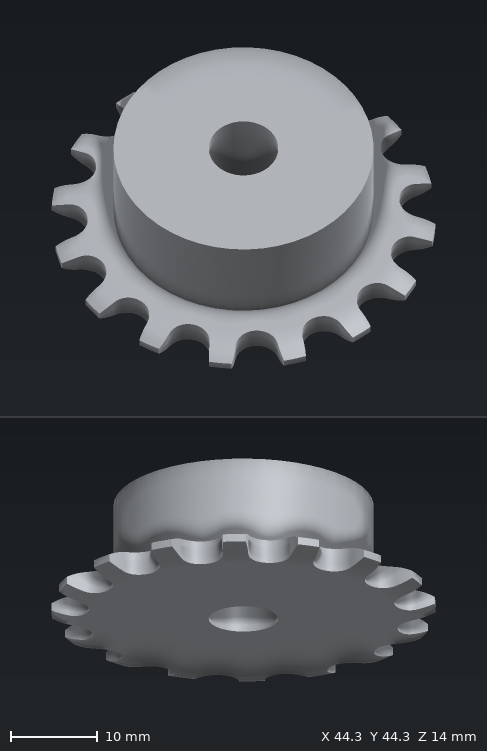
import cadquery as cq
import math

TOOTH_COUNT = 16
TIP_RADIUS = 44.3 / 2
PITCH_RADIUS = 41.0 / 2
SEAT_RADIUS = 5.0 / 2
FLANK_RADIUS = 10.8
PLATE_THICKNESS = 2.8
FACE_RADIUS = 18.25
SIDE_ARC_RADIUS = 8.4

TOTAL_HEIGHT = 14.0
HUB_DIAMETER = 30.0
BORE_DIAMETER = 8.0

TOOTH_ANGLE = 360 / TOOTH_COUNT
CUT_MARGIN = 0.9


def make_blank():
    """Revolve the toothless plate, with its sides rounded in towards the tip."""
    side_width = TIP_RADIUS - FACE_RADIUS
    side_angle = math.asin(side_width / SIDE_ARC_RADIUS)

    def side_inset(angle):
        return SIDE_ARC_RADIUS * (1 - math.cos(angle))

    tip_inset = side_inset(side_angle)
    mid_radius = FACE_RADIUS + SIDE_ARC_RADIUS * math.sin(side_angle / 2)
    mid_inset = side_inset(side_angle / 2)
    return (
        cq.Workplane("XZ")
        .lineTo(FACE_RADIUS, 0)
        .threePointArc((mid_radius, mid_inset), (TIP_RADIUS, tip_inset))
        .lineTo(TIP_RADIUS, PLATE_THICKNESS - tip_inset)
        .threePointArc((mid_radius, PLATE_THICKNESS - mid_inset), (FACE_RADIUS, PLATE_THICKNESS))
        .lineTo(0, PLATE_THICKNESS)
        .close()
        .revolve(360, (0, 0, 0), (0, 1, 0))
    )


def make_gap_cutter():
    """Shape one tooth gap, centred on +X: a roller seat that opens into convex flanks."""
    seat_end_angle = math.radians(TOOTH_ANGLE / 2)
    outer_radius = TIP_RADIUS + CUT_MARGIN
    centre_distance = SEAT_RADIUS + FLANK_RADIUS
    flank_x = PITCH_RADIUS - centre_distance * math.sin(seat_end_angle)
    flank_y = centre_distance * math.cos(seat_end_angle)

    def flank_point(x):
        return x, flank_y - math.sqrt(FLANK_RADIUS**2 - (x - flank_x) ** 2)

    seat_end_x = PITCH_RADIUS - SEAT_RADIUS * math.sin(seat_end_angle)
    start = flank_point(seat_end_x)
    middle = flank_point((seat_end_x + outer_radius) / 2)
    end = flank_point(outer_radius)

    def mirrored(point):
        return point[0], -point[1]

    return (
        cq.Workplane("XY")
        .workplane(offset=-CUT_MARGIN)
        .moveTo(*end)
        .threePointArc(middle, start)
        .threePointArc((PITCH_RADIUS - SEAT_RADIUS, 0), mirrored(start))
        .threePointArc(mirrored(middle), mirrored(end))
        .close()
        .extrude(PLATE_THICKNESS + 2 * CUT_MARGIN)
    )


def make_sprocket():
    sprocket = make_blank()
    gap_cutter = make_gap_cutter()
    for index in range(TOOTH_COUNT):
        angle = (index + 0.5) * TOOTH_ANGLE
        sprocket = sprocket.cut(gap_cutter.rotate((0, 0, 0), (0, 0, 1), angle))
    hub = cq.Workplane("XY").circle(HUB_DIAMETER / 2).extrude(TOTAL_HEIGHT)
    bore = cq.Workplane("XY").circle(BORE_DIAMETER / 2).extrude(TOTAL_HEIGHT)
    return sprocket.union(hub).cut(bore)


result = make_sprocket()